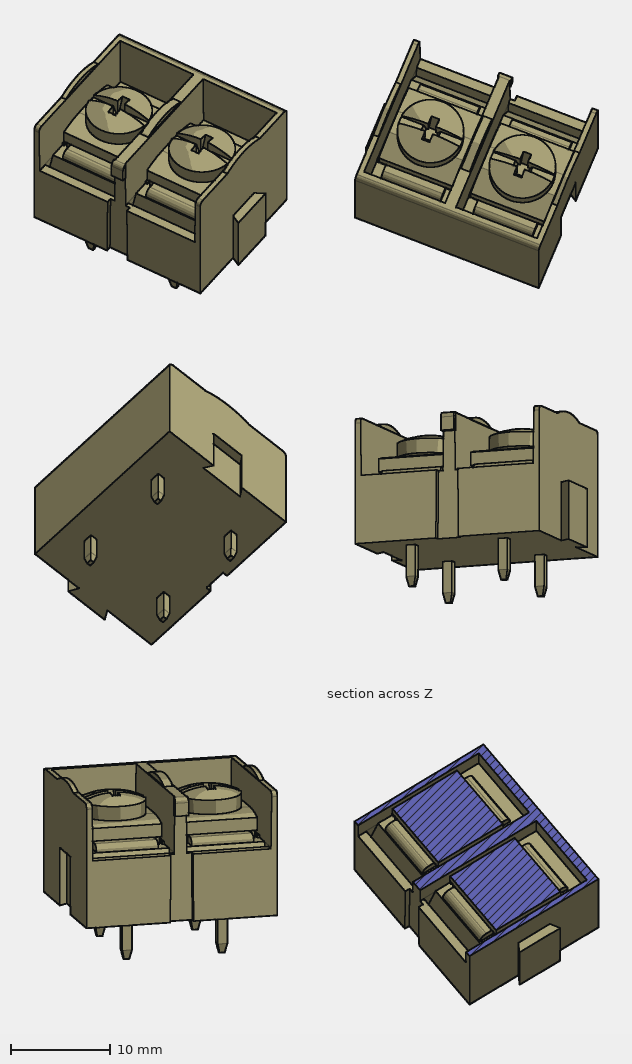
import cadquery as cq
import math


overall_x = 21
pitch = 10.0
pole_count = 2
housing_x = pole_count * pitch
housing_y = 16.0
housing_z = 12.9
top_round = 0.5
front_y = -housing_y / 2
back_y = housing_y / 2
left_x = -housing_x / 2
right_x = housing_x / 2

hump_length = 6.0
hump_rise = 0.59
side_hump_thick = 0.55
middle_hump_thick = 0.95

pocket_top_width = 8.82
pocket_floor_width = 8.65
floor_z = 7.15
back_wall_top = 1.0
back_wall_floor = 1.07
sill_z = 6.97
sill_depth = 1.0
trough_start = 1.15
trough_end = 2.45
trough_z = 4.62
ledge_size = 0.23
ledge_length = 7.62

notch_depth = 0.55
notch_top_width = 2.3
notch_bottom_width = 2.45
nose_width = 1.39
nose_bottom_z = 11.0

dovetail_height = 6.0
dovetail_root = 3.9
dovetail_tip = 5.05
tongue_depth = overall_x - housing_x
groove_depth = 0.9

contact_top_z = 7.92
contact_width = 6.47
contact_length = 10.9
contact_base = 7.62
clamp_size = 8.02
clamp_bottom_z = 7.98
clamp_top_z = 9.76
clamp_edge_z = 9.3
clamp_flat = 2.37

shank_diameter = 3.3
head_diameter = 6.7
head_rim_z = 11.24
head_top_z = 12.01
slot_width = 0.85
slot_floor_z = 10.92
recess_bottom_z = 10.15
recess_top_length = 2.73
recess_bottom_length = 1.25

pin_x = 1.0
pin_y = 0.8
pin_length = 4.2
pin_tip_length = 1.0
pin_tip_x = 0.55
pin_tip_y = 0.42


def block(x_range, y_range, z_range):
    """Box given by its limits along each axis."""
    lows, highs = zip(x_range, y_range, z_range)
    sizes = [high - low for low, high in zip(lows, highs)]
    return cq.Workplane("XY").box(*sizes, centered=False).translate(lows)


def hump(x_center, thickness):
    """Circular arc rising from the flat top of a wall."""
    half = hump_length / 2
    return (
        cq.Workplane("YZ", origin=(x_center - thickness / 2, 0, 0))
        .moveTo(-half, housing_z - top_round)
        .lineTo(-half, housing_z)
        .threePointArc((0, housing_z + hump_rise), (half, housing_z))
        .lineTo(half, housing_z - top_round)
        .close()
        .extrude(thickness)
    )


def pocket(x_center):
    """Pocket space: open to the top and front, with a trough behind the sill."""
    side_profile = (
        cq.Workplane("YZ", origin=(x_center - pitch / 2, 0, 0))
        .polyline([
            (front_y, sill_z),
            (front_y + sill_depth, sill_z),
            (front_y + trough_start, trough_z),
            (front_y + trough_end, floor_z),
            (back_y - back_wall_floor, floor_z),
            (back_y - back_wall_top, housing_z),
            (front_y, housing_z),
        ])
        .close()
        .extrude(pitch)
    )
    front_profile = (
        cq.Workplane("XZ", origin=(x_center, back_y, 0))
        .polyline([
            (-pocket_floor_width / 2, 0),
            (pocket_floor_width / 2, 0),
            (pocket_floor_width / 2, floor_z),
            (pocket_top_width / 2, housing_z),
            (-pocket_top_width / 2, housing_z),
            (-pocket_floor_width / 2, floor_z),
        ])
        .close()
        .extrude(housing_y)
    )
    return side_profile.intersect(front_profile)


def ledges(x_center):
    """Two small ledges where the pocket floor meets its side walls."""
    wall_gap = pocket_floor_width / 2
    y_range = (-ledge_length / 2, ledge_length / 2)
    z_range = (floor_z - ledge_size, floor_z + ledge_size)
    low_side = block((-pitch / 2, ledge_size - wall_gap), y_range, z_range)
    return low_side.union(low_side.mirror("YZ")).translate((x_center, 0, 0))


def dovetail(x_root, depth):
    """Prism that widens from its root towards +X."""
    return (
        cq.Workplane("XY")
        .polyline([
            (x_root, -dovetail_root / 2),
            (x_root + depth, -dovetail_tip / 2),
            (x_root + depth, dovetail_tip / 2),
            (x_root, dovetail_root / 2),
        ])
        .close()
        .extrude(dovetail_height)
    )


def front_notch():
    """Shallow tapered notch between the two poles, up to the nose."""
    return (
        cq.Workplane("XZ", origin=(0, front_y + notch_depth, 0))
        .polyline([
            (-notch_bottom_width / 2, 0),
            (notch_bottom_width / 2, 0),
            (notch_top_width / 2, sill_z),
            (notch_top_width / 2, nose_bottom_z),
            (-notch_top_width / 2, nose_bottom_z),
            (-notch_top_width / 2, sill_z),
        ])
        .close()
        .extrude(notch_depth)
    )


def nose():
    """Rounded front end of the middle wall."""
    body = block(
        (-nose_width / 2, nose_width / 2),
        (front_y, front_y + notch_depth),
        (nose_bottom_z, housing_z),
    )
    return body.edges("|X and >Z and <Y").fillet(top_round)


def contact(x_center):
    """Round-edged contact bar on a square base just below the clamp plate."""
    z_size = contact_top_z - floor_z
    half = contact_length / 2
    corner = z_size * (1 - math.sqrt(0.5))
    bar = (
        cq.Workplane("YZ", origin=(x_center - contact_width / 2, 0, floor_z))
        .moveTo(-half, 0)
        .threePointArc((corner - half, z_size - corner), (z_size - half, z_size))
        .lineTo(half - z_size, z_size)
        .threePointArc((half - corner, z_size - corner), (half, 0))
        .close()
        .extrude(contact_width)
    )
    base = (
        cq.Workplane("XY", origin=(x_center, 0, floor_z))
        .rect(contact_base, contact_base)
        .extrude(z_size)
    )
    return bar.union(base)


def clamp_plate(x_center):
    """Square plate whose flat top curves down to the front and back edges."""
    half = clamp_size / 2
    flat = clamp_flat / 2
    run = half - flat
    drop = clamp_top_z - clamp_edge_z
    radius = (run**2 + drop**2) / (2 * drop)
    mid_angle = math.asin(run / radius) / 2
    mid_y = flat + radius * math.sin(mid_angle)
    mid_z = clamp_top_z - radius * (1 - math.cos(mid_angle))
    return (
        cq.Workplane("YZ", origin=(x_center - half, 0, 0))
        .moveTo(-half, clamp_bottom_z)
        .lineTo(half, clamp_bottom_z)
        .lineTo(half, clamp_edge_z)
        .threePointArc((mid_y, mid_z), (flat, clamp_top_z))
        .lineTo(-flat, clamp_top_z)
        .threePointArc((-mid_y, mid_z), (-half, clamp_edge_z))
        .close()
        .extrude(clamp_size)
    )


def recess_arm():
    """Tapered arm of the cross recess, lying along X."""
    return (
        cq.Workplane("XZ")
        .polyline([
            (-recess_bottom_length / 2, recess_bottom_z),
            (recess_bottom_length / 2, recess_bottom_z),
            (recess_top_length / 2, head_top_z),
            (-recess_top_length / 2, head_top_z),
        ])
        .close()
        .extrude(slot_width / 2, both=True)
    )


def screw(x_center):
    """Shank and domed head with a full-width slot and a cross recess."""
    radius = head_diameter / 2
    rise = head_top_z - head_rim_z
    sphere_radius = (radius**2 + rise**2) / (2 * rise)
    mid_x = radius / 2
    mid_z = head_top_z - sphere_radius + math.sqrt(sphere_radius**2 - mid_x**2)
    body = (
        cq.Workplane("XZ")
        .moveTo(0, floor_z)
        .lineTo(shank_diameter / 2, floor_z)
        .lineTo(shank_diameter / 2, clamp_top_z)
        .lineTo(radius, clamp_top_z)
        .lineTo(radius, head_rim_z)
        .threePointArc((mid_x, mid_z), (0, head_top_z))
        .close()
        .revolve(360, (0, 0, 0), (0, 1, 0))
    )
    slot = block(
        (-radius, radius),
        (-slot_width / 2, slot_width / 2),
        (slot_floor_z, head_top_z),
    )
    arm = recess_arm()
    cross_arm = arm.rotate((0, 0, 0), (0, 0, 1), 90)
    return body.cut(slot).cut(arm).cut(cross_arm).translate((x_center, 0, 0))


def pin(x_center, y_center):
    """Rectangular pin with a tapered tip."""
    shank_length = pin_length - pin_tip_length
    shank = cq.Workplane("XY").rect(pin_x, pin_y).extrude(-shank_length)
    tip = (
        cq.Workplane("XY", origin=(0, 0, -shank_length))
        .rect(pin_x, pin_y)
        .workplane(offset=-pin_tip_length)
        .rect(pin_tip_x, pin_tip_y)
        .loft(ruled=True)
    )
    return shank.union(tip).translate((x_center, y_center, 0))


pole_centers = [-pitch / 2, pitch / 2]
side_hump_x = (housing_x - side_hump_thick) / 2

result = block((left_x, right_x), (front_y, back_y), (0, housing_z))
result = result.edges("|X and >Z").fillet(top_round)
for x in pole_centers:
    result = result.cut(pocket(x))
result = result.cut(front_notch()).union(nose())
for x, thickness in [
    (-side_hump_x, side_hump_thick),
    (0, middle_hump_thick),
    (side_hump_x, side_hump_thick),
]:
    result = result.union(hump(x, thickness))
result = result.union(dovetail(right_x, tongue_depth))
result = result.cut(dovetail(left_x, groove_depth))

for x in pole_centers:
    result = result.union(ledges(x)).union(contact(x))
    result = result.union(clamp_plate(x)).union(screw(x))
    for y in (-pitch / 2, pitch / 2):
        result = result.union(pin(x, y))